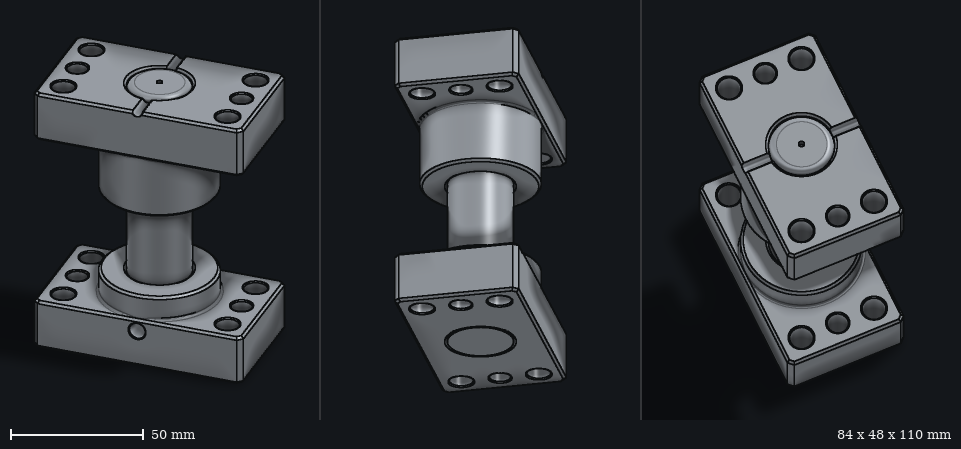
import cadquery as cq


total_height = 110.0

plate_length = 84.0
plate_depth = 48.0
plate_thickness = 20.0
corner_chamfer = 2.0
edge_chamfer = 1.0

collar_diameter = 45.9
lower_collar_length = 9.9
upper_collar_length = 25.0
root_fillet = edge_chamfer

post_diameter = 25.0
post_tip_fillet = 3.0
post_protrusion = 0.5
centre_mark_diameter = 2.2
centre_mark_depth = 2.2
centre_mark_tip = centre_mark_diameter / 2

large_hole_diameter = 9.0
small_hole_diameter = 8.0
hole_chamfer = 0.5
hole_row_spacing = 66.0
hole_pitch = 15.0

groove_diameter = 4.0

side_hole_diameter = 6.4
side_hole_chamfer = 0.35
side_hole_height = 15.1


def round_cutter(diameter, length, start_chamfer, end_chamfer):
    """Round cutter from Z = 0 to Z = length, widened by 45 degree chamfers at its ends."""
    cutter = cq.Workplane("XY").circle(diameter / 2).extrude(length)
    if start_chamfer:
        start_cone = cq.Solid.makeCone(diameter / 2 + start_chamfer, diameter / 2, start_chamfer)
        cutter = cutter.union(cq.Workplane(start_cone))
    if end_chamfer:
        end_cone = cq.Solid.makeCone(diameter / 2, diameter / 2 + end_chamfer, end_chamfer)
        cutter = cutter.union(cq.Workplane(end_cone).translate((0, 0, length - end_chamfer)))
    return cutter


def plate_with_collar(collar_length):
    """Plate on Z = 0 with a collar on top of it, filleted where the two meet."""
    plate = (
        cq.Workplane("XY")
        .box(plate_length, plate_depth, plate_thickness, centered=(True, True, False))
        .edges("|Z")
        .chamfer(corner_chamfer)
        .faces("<Z or >Z")
        .chamfer(edge_chamfer)
    )
    collar = (
        cq.Workplane("XY")
        .workplane(offset=plate_thickness)
        .circle(collar_diameter / 2)
        .extrude(collar_length)
        .faces(">Z")
        .edges()
        .chamfer(edge_chamfer)
    )
    return plate.union(collar).edges("%CIRCLE").edges("<Z").fillet(root_fillet)


def flanged_plate(collar_length):
    """Collared plate with a bore for the post and six mounting holes."""
    body = plate_with_collar(collar_length)
    bore_length = plate_thickness + collar_length
    body = body.cut(round_cutter(post_diameter, bore_length, edge_chamfer, edge_chamfer))
    for x in (-hole_row_spacing / 2, hole_row_spacing / 2):
        for row, diameter in ((-1, large_hole_diameter), (0, small_hole_diameter), (1, large_hole_diameter)):
            hole = round_cutter(diameter, plate_thickness, hole_chamfer, hole_chamfer)
            body = body.cut(hole.translate((x, row * hole_pitch, 0)))
    return body


def make_lower_plate():
    """Flanged plate with its collar up and a side hole that opens on the front."""
    side_hole = (
        round_cutter(side_hole_diameter, plate_depth / 2, side_hole_chamfer, 0)
        .rotate((0, 0, 0), (1, 0, 0), -90)
        .translate((0, -plate_depth / 2, side_hole_height))
    )
    return flanged_plate(lower_collar_length).cut(side_hole)


def make_upper_plate():
    """Flanged plate with its collar down and a groove from front to back in its top."""
    groove_radius = groove_diameter / 2
    groove = (
        cq.Workplane("XZ")
        .moveTo(-groove_radius, 0)
        .threePointArc((0, groove_radius), (groove_radius, 0))
        .close()
        .extrude(plate_depth / 2, both=True)
    )
    return (
        flanged_plate(upper_collar_length)
        .cut(groove)
        .rotate((0, 0, 0), (1, 0, 0), 180)
        .translate((0, 0, total_height - post_protrusion))
    )


def make_post():
    """Post with a rounded tip and a small drilled centre mark."""
    mark_radius = centre_mark_diameter / 2
    mark_floor = total_height - centre_mark_depth
    mark_tip = cq.Solid.makeCone(0, mark_radius, centre_mark_tip)
    return (
        cq.Workplane("XY")
        .circle(post_diameter / 2)
        .extrude(total_height)
        .faces(">Z")
        .edges()
        .fillet(post_tip_fillet)
        .cut(cq.Workplane("XY").workplane(offset=mark_floor).circle(mark_radius).extrude(centre_mark_depth))
        .cut(cq.Workplane(mark_tip).translate((0, 0, mark_floor - centre_mark_tip)))
    )


lower_plate = make_lower_plate()
upper_plate = make_upper_plate()
post = make_post()

result = cq.Compound.makeCompound([lower_plate.val(), upper_plate.val(), post.val()])